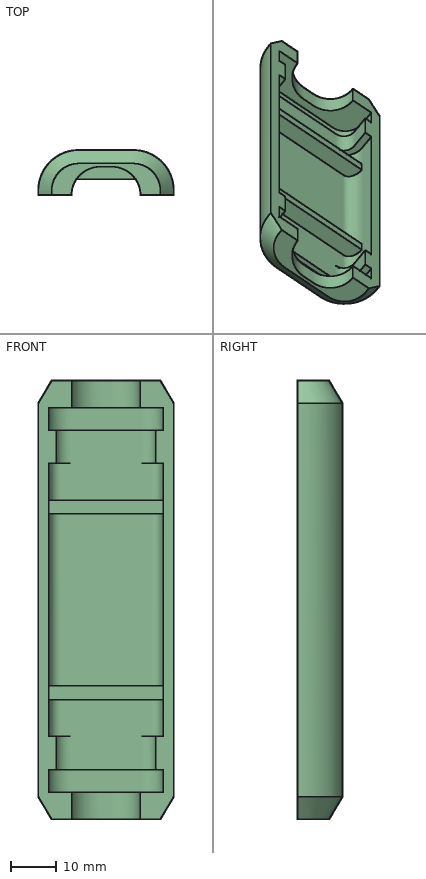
import cadquery as cq
import math

LENGTH = 97.0
WIDTH = 30.0
DEPTH = 10.0
CORNER_RADIUS = 9.0
END_BEVEL_INSET = 3.0
END_BEVEL_LENGTH = 5.0

LIP_LENGTH = 6.0
GROOVE_LENGTH = 5.0
COLLAR_LENGTH = 7.35

OPENING_WIDTH = 15.2
OPENING_DEPTH = 6.25
GROOVE_WIDTH = 25.3
GROOVE_DEPTH = 8.0
GROOVE_RADIUS = 4.7
COLLAR_WIDTH = 22.0
COLLAR_RADIUS = 3.0
CAVITY_DEPTH = 6.95
CAVITY_FLOOR_FILLET = 2.0

RIB_THICKNESS = 3.0
RIB_CENTER_Z = 20.5
RIB_FRONT_Y = 3.5

HALF_LENGTH = LENGTH / 2
SHOULDER_Z = HALF_LENGTH - END_BEVEL_LENGTH
GROOVE_OUTER_Z = HALF_LENGTH - LIP_LENGTH
GROOVE_INNER_Z = GROOVE_OUTER_Z - GROOVE_LENGTH
COLLAR_INNER_Z = GROOVE_INNER_Z - COLLAR_LENGTH


def arch_section(width, depth, radius, z):
    """Flat-backed arch at height z: open face on Y = 0, two rounded rear corners."""
    half_width = width / 2
    side_depth = depth - radius
    section = cq.Workplane("XY", origin=(0, 0, z)).moveTo(-half_width, 0)
    if side_depth > 0:
        section = section.lineTo(-half_width, side_depth)
    section = section.radiusArc((-half_width + radius, depth), radius)
    section = section.lineTo(half_width - radius, depth)
    section = section.radiusArc((half_width, side_depth), radius)
    if side_depth > 0:
        section = section.lineTo(half_width, 0)
    return section.close()


def arch_prism(width, depth, radius, z_start, z_end):
    """Straight arch-shaped bar between two heights."""
    return arch_section(width, depth, radius, z_start).extrude(z_end - z_start)


def cavity_prism(z_start, z_end):
    """Groove section cut off at the cavity floor, with fillets blending the floor into the side arcs."""
    half_width = GROOVE_WIDTH / 2
    arc_x = half_width - GROOVE_RADIUS
    arc_y = GROOVE_DEPTH - GROOVE_RADIUS
    center_distance = GROOVE_RADIUS - CAVITY_FLOOR_FILLET
    rise = CAVITY_DEPTH - CAVITY_FLOOR_FILLET - arc_y
    run = math.sqrt(center_distance**2 - rise**2)
    floor_x = arc_x + run
    tangent_x = arc_x + GROOVE_RADIUS * run / center_distance
    tangent_y = arc_y + GROOVE_RADIUS * rise / center_distance
    return (
        cq.Workplane("XY", origin=(0, 0, z_start))
        .moveTo(-half_width, 0)
        .lineTo(-half_width, arc_y)
        .radiusArc((-tangent_x, tangent_y), GROOVE_RADIUS)
        .radiusArc((-floor_x, CAVITY_DEPTH), CAVITY_FLOOR_FILLET)
        .lineTo(floor_x, CAVITY_DEPTH)
        .radiusArc((tangent_x, tangent_y), CAVITY_FLOOR_FILLET)
        .radiusArc((half_width, arc_y), GROOVE_RADIUS)
        .lineTo(half_width, 0)
        .close()
        .extrude(z_end - z_start)
    )


def mirrored_pair(body):
    """The body together with its mirror image about the mid-length plane."""
    return body.union(body.mirror("XY"))


def beveled_end():
    """Upper end of the shell, tapering on its sides and back but not on the open face."""
    base = arch_section(WIDTH, DEPTH, CORNER_RADIUS, SHOULDER_Z)
    tip = arch_section(
        WIDTH - 2 * END_BEVEL_INSET,
        DEPTH - END_BEVEL_INSET,
        CORNER_RADIUS - END_BEVEL_INSET,
        HALF_LENGTH,
    )
    wires = [base.val(), tip.val()]
    return cq.Workplane(cq.Solid.makeLoft(wires, True))


def outer_shell():
    """Solid block: straight middle with a tapered end at both sides."""
    middle = arch_prism(WIDTH, DEPTH, CORNER_RADIUS, -SHOULDER_Z, SHOULDER_Z)
    return middle.union(mirrored_pair(beveled_end()))


def hollow():
    """Stepped interior: end openings, grooves, narrow collars and the main cavity."""
    opening = arch_prism(OPENING_WIDTH, OPENING_DEPTH, OPENING_DEPTH, GROOVE_OUTER_Z, HALF_LENGTH)
    groove = arch_prism(GROOVE_WIDTH, GROOVE_DEPTH, GROOVE_RADIUS, GROOVE_INNER_Z, GROOVE_OUTER_Z)
    collar = arch_prism(COLLAR_WIDTH, CAVITY_DEPTH, COLLAR_RADIUS, COLLAR_INNER_Z, GROOVE_INNER_Z)
    cavity = cavity_prism(-COLLAR_INNER_Z, COLLAR_INNER_Z)
    end_steps = opening.union(groove).union(collar)
    return cavity.union(mirrored_pair(end_steps))


def cross_ribs():
    """Two bars across the cavity, each filling the cavity section behind its front face."""
    z_start = RIB_CENTER_Z - RIB_THICKNESS / 2
    section = cavity_prism(z_start, z_start + RIB_THICKNESS)
    clearance = cq.Workplane("XY", origin=(0, 0, z_start)).rect(GROOVE_WIDTH, 2 * RIB_FRONT_Y)
    return mirrored_pair(section.cut(clearance.extrude(RIB_THICKNESS)))


result = outer_shell().cut(hollow()).union(cross_ribs())